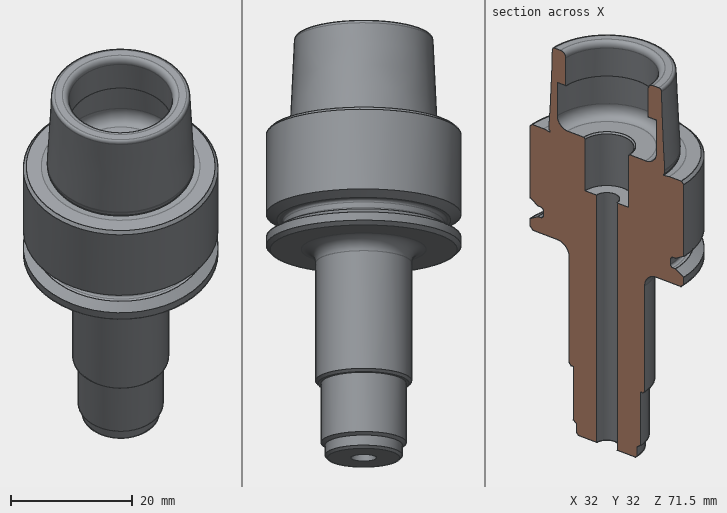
import cadquery as cq
import math

total_height = 71.5
flange_top = 55.5
flange_bottom = 35.45
shoulder_level = 12.65
seat_bottom = 2.6

taper_top_radius = 11.4
taper_base_radius = 12.1
taper_base_level = 56.4
taper_rim_fillet = 0.6

neck_radius = 24.1 / 2
neck_top = 56.2
neck_bottom = 55.7
undercut_inset = 0.2
relief_radius = 26.1 / 2
relief_angle = 8

flange_radius = 32.0 / 2
flange_top_chamfer = 0.5
flange_bottom_chamfer = 0.65
groove_radius = 26.5 / 2
groove_middle = 39.5
groove_width = 1.9
groove_flare_radius = 14.3
groove_flare_angle = 30
groove_fillet = 0.5

shank_radius = 15.8 / 2
shank_root_fillet = 2.35
shank_chamfer = 0.4
seat_radius = 14.0 / 2
seat_chamfer_height = 0.4
tip_radius = 12.7 / 2
tip_chamfer = 0.4

mouth_radius = 17.0 / 2
mouth_fillet = 1.1
recess_radius = 20.5 / 2
recess_top = 65.15
cavity_floor = 56.8
cavity_floor_fillet = 2.15

socket_radius = 8.95 / 2
socket_depth = 10
socket_chamfer = 0.3
through_radius = 4.2 / 2


def revolved(profile):
    """Turn a closed (radius, height) profile about the Z axis."""
    return cq.Workplane("XZ").polyline(profile).close().revolve(360, (0, 0), (0, 1))


def round_edge(body, radius, level, fillet):
    """Fillet the one circular edge with this radius at this height."""
    tolerance = 0.001

    def matches(edge):
        return abs(edge.radius() - radius) < tolerance and abs(edge.Center().z - level) < tolerance

    return body.edges("%CIRCLE").filter(matches).fillet(fillet)


def turned_body():
    undercut_radius = neck_radius - undercut_inset
    relief_depth = (relief_radius - undercut_radius) * math.tan(math.radians(relief_angle))
    wall_top = groove_middle + groove_width / 2
    wall_bottom = groove_middle - groove_width / 2
    flare = (flange_radius - groove_flare_radius) * math.tan(math.radians(groove_flare_angle))
    body = revolved([
        (0, total_height),
        (taper_top_radius, total_height),
        (taper_base_radius, taper_base_level),
        (neck_radius, neck_top),
        (neck_radius, neck_bottom),
        (undercut_radius, neck_bottom - undercut_inset),
        (undercut_radius, flange_top - relief_depth),
        (relief_radius, flange_top),
        (flange_radius - flange_top_chamfer, flange_top),
        (flange_radius, flange_top - flange_top_chamfer),
        (flange_radius, wall_top + flare),
        (groove_flare_radius, wall_top),
        (groove_radius, wall_top),
        (groove_radius, wall_bottom),
        (groove_flare_radius, wall_bottom),
        (flange_radius, wall_bottom - flare),
        (flange_radius, flange_bottom + flange_bottom_chamfer),
        (flange_radius - flange_bottom_chamfer, flange_bottom),
        (shank_radius, flange_bottom),
        (shank_radius, shoulder_level + shank_chamfer),
        (shank_radius - shank_chamfer, shoulder_level),
        (seat_radius, shoulder_level),
        (seat_radius, seat_bottom),
        (tip_radius, seat_bottom - seat_chamfer_height),
        (tip_radius, tip_chamfer),
        (tip_radius - tip_chamfer, 0),
        (0, 0),
    ])
    body = round_edge(body, taper_top_radius, total_height, taper_rim_fillet)
    body = round_edge(body, groove_radius, wall_top, groove_fillet)
    body = round_edge(body, groove_radius, wall_bottom, groove_fillet)
    return round_edge(body, shank_radius, flange_bottom, shank_root_fillet)


def cavity():
    space = revolved([
        (0, total_height),
        (mouth_radius, total_height),
        (mouth_radius, recess_top),
        (recess_radius, recess_top),
        (recess_radius, cavity_floor),
        (0, cavity_floor),
    ])
    return round_edge(space, recess_radius, cavity_floor, cavity_floor_fillet)


def axial_hole():
    socket_bottom = cavity_floor - socket_depth
    return revolved([
        (0, cavity_floor),
        (socket_radius + socket_chamfer, cavity_floor),
        (socket_radius, cavity_floor - socket_chamfer),
        (socket_radius, socket_bottom),
        (through_radius, socket_bottom),
        (through_radius, 0),
        (0, 0),
    ])


body = turned_body().cut(cavity()).cut(axial_hole())
result = round_edge(body, mouth_radius, total_height, mouth_fillet)